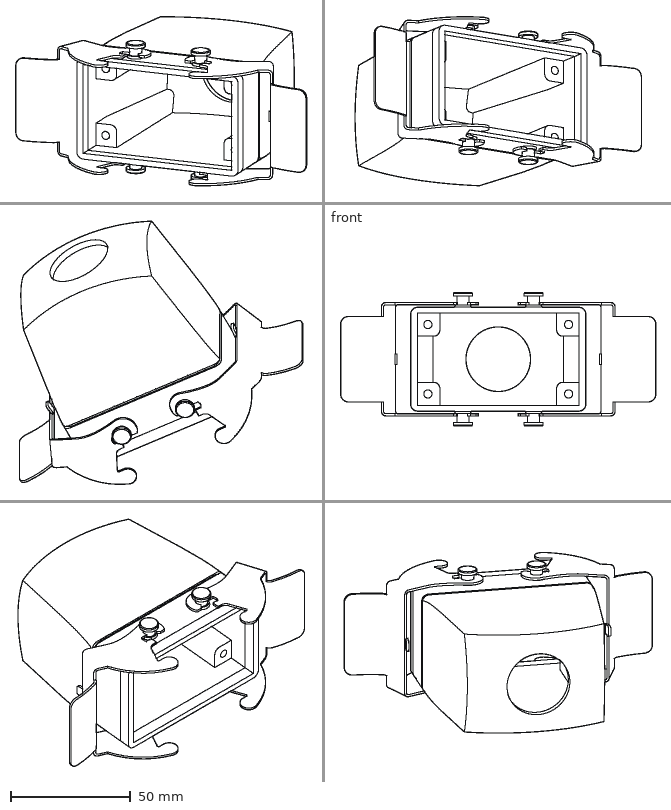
import cadquery as cq
import math


HOOD_HALF_X = 36.7
HOOD_HALF_Z = 21.8
HOOD_CORNER_RADIUS = 3.0
WALL_X = 2.9
WALL_Z = 2.5
SIDE_TAPER = 7.6
DOME_RADIUS = 77.9
DOME_THICKNESS = 2.9
ENTRY_DIAMETER = 27.0
ENTRY_RIM_Y = 81.6
GROOVE_START = 21.5
GROOVE_END = 22.7
GROOVE_DEPTH = 0.8
GROOVE_CORNER_RADIUS = 3.6
CAVITY_TAPER_START = 25.5
SEAL_DEPTH = 5.2

PILLAR_HALF_X = 24.5
PILLAR_HALF_Z = 9.6
PILLAR_FRONT_Y = 13.7
PILLAR_CORNER_RADIUS = 2.6
SCREW_X = 29.5
SCREW_Z = 14.5
SCREW_DIAMETER = 3.5
SCREW_DEPTH = 13.2

PIVOT_X = 14.8
PIVOT_Y = 11.5
PIN_DIAMETER = 5.2
PIN_HEAD_DIAMETER = 8.0
PIN_HEAD_HEIGHT = 1.6
PIN_HEAD_CHAMFER = 0.4
PIN_TOP_Z = 28.0
BOSS_BASE_DIAMETER = 7.1
BOSS_TOP_DIAMETER = 6.3

SHEET = 0.99
LEVER_HALF_Z = 23.8
BEND_RADIUS = 2.0
PANEL_LEAN = 22.0
PANEL_LENGTH = 13.6
PANEL_TOP = (-43.9, 20.9)
HOOK_RADIUS = 3.7
HOOK_CENTER = (-22.5, -9.6)
HOOK_END_ANGLE = 245.0
EYE_OPENING_ANGLE = -45.0
NOTCH_TOP_Y = 10.3
GAP_SIZE = 52.8
TAB_HALF_Z = 18.0
TAB_TIP_X = -66.0
TAB_CORNER_RADIUS = 3.5
TAB_BEND_RADIUS = 2.9
TAB_CURVE_RADIUS = 47.5
TAB_BEND_END = 288.0
TAB_CURVE_END = 265.0
NUB_TIP_Y = 24.5
NUB_INSET = 0.5
NUB_LEAN = 6.0
NUB_WIDTH = 4.5
NUB_CORNER_RADIUS = 1.0

BOSS_TOP_Z = LEVER_HALF_Z - SHEET
DOME_CENTER_Y = ENTRY_RIM_Y - math.sqrt(DOME_RADIUS**2 - (ENTRY_DIAMETER / 2)**2)
DOME_APEX_Y = DOME_CENTER_Y + DOME_RADIUS
SIDES = (-1, 1)


def polar(center, radius, degrees):
    angle = math.radians(degrees)
    return (center[0] + radius * math.cos(angle), center[1] + radius * math.sin(angle))


def along_y(half_x, half_z, start, end):
    """Rectangular block centred on the Y axis, from y = start to y = end."""
    return cq.Workplane("XY").box(2 * half_x, end - start, 2 * half_z).translate((0, (start + end) / 2, 0))


def tapered_dome(half_x, half_z, taper_start, dome_radius):
    """Block whose X sides lean inwards beyond taper_start and whose +Y end is a spherical dome."""
    top_half_x = half_x - (DOME_APEX_Y - taper_start) * math.tan(math.radians(SIDE_TAPER))
    outline = [
        (-half_x, 0), (half_x, 0), (half_x, taper_start),
        (top_half_x, DOME_APEX_Y), (-top_half_x, DOME_APEX_Y), (-half_x, taper_start),
    ]
    block = cq.Workplane("XY").polyline(outline).close().extrude(half_z, both=True)
    ball = cq.Workplane("XY").sphere(dome_radius, direct=(0, 1, 0)).translate((0, DOME_CENTER_Y, 0))
    return block.intersect(ball)


def make_shell():
    """Outer hood shape with its cavity, pillars, cable entry and groove, before the mouth is cut off."""
    prism = along_y(HOOD_HALF_X, HOOD_HALF_Z, 0, DOME_APEX_Y).edges("|Y").fillet(HOOD_CORNER_RADIUS)
    outer = tapered_dome(HOOD_HALF_X, HOOD_HALF_Z, GROOVE_END, DOME_RADIUS).intersect(prism)

    cavity_half_x = HOOD_HALF_X - WALL_X
    cavity_half_z = HOOD_HALF_Z - WALL_Z
    cavity_dome_radius = DOME_RADIUS - DOME_THICKNESS
    cavity = tapered_dome(cavity_half_x, cavity_half_z, CAVITY_TAPER_START, cavity_dome_radius)
    for side_x in SIDES:
        for side_z in SIDES:
            cavity = cavity.cut(make_pillar(side_x, side_z))
            cavity = cavity.union(make_screw_hole(side_x, side_z))

    entry = cq.Workplane("XZ").circle(ENTRY_DIAMETER / 2).extrude(-DOME_APEX_Y)
    return outer.cut(cavity).cut(entry).cut(make_groove())


def make_pillar(side_x, side_z):
    size_x = HOOD_HALF_X - PILLAR_HALF_X
    size_z = HOOD_HALF_Z - PILLAR_HALF_Z
    length = ENTRY_RIM_Y - PILLAR_FRONT_Y
    pillar = cq.Workplane("XY").box(size_x, length, size_z, centered=(False, False, False))
    pillar = pillar.edges("|Y and <X and <Z").fillet(PILLAR_CORNER_RADIUS)
    pillar = pillar.translate((PILLAR_HALF_X, PILLAR_FRONT_Y, PILLAR_HALF_Z))
    if side_x < 0:
        pillar = pillar.mirror("YZ")
    if side_z < 0:
        pillar = pillar.mirror("XY")
    return pillar


def make_screw_hole(side_x, side_z):
    hole = cq.Workplane("XZ").circle(SCREW_DIAMETER / 2).extrude(-SCREW_DEPTH)
    return hole.translate((side_x * SCREW_X, PILLAR_FRONT_Y, side_z * SCREW_Z))


def make_groove():
    """Shallow ring running round the outside of the hood."""
    core = along_y(HOOD_HALF_X - GROOVE_DEPTH, HOOD_HALF_Z - GROOVE_DEPTH, GROOVE_START, GROOVE_END)
    core = core.edges("|Y").fillet(GROOVE_CORNER_RADIUS)
    return along_y(HOOD_HALF_X, HOOD_HALF_Z, GROOVE_START, GROOVE_END).cut(core)


def make_boss(side_x, side_z):
    """Low cone on the hood wall that keeps the lever clear of it."""
    boss = (
        cq.Workplane("XY").workplane(offset=HOOD_HALF_Z).circle(BOSS_BASE_DIAMETER / 2)
        .workplane(offset=BOSS_TOP_Z - HOOD_HALF_Z).circle(BOSS_TOP_DIAMETER / 2).loft()
        .translate((side_x * PIVOT_X, PIVOT_Y, 0))
    )
    return boss if side_z > 0 else boss.mirror("XY")


def make_pin(side_x, side_z):
    head_z = PIN_TOP_Z - PIN_HEAD_HEIGHT
    stem_base = cq.Workplane("XY").workplane(offset=BOSS_TOP_Z)
    stem = stem_base.circle(PIN_DIAMETER / 2).extrude(head_z - BOSS_TOP_Z)
    head_base = cq.Workplane("XY").workplane(offset=head_z)
    head = head_base.circle(PIN_HEAD_DIAMETER / 2).extrude(PIN_HEAD_HEIGHT)
    head = head.faces(">Z").chamfer(PIN_HEAD_CHAMFER)
    pin = stem.union(head).translate((side_x * PIVOT_X, PIVOT_Y, 0))
    return pin if side_z > 0 else pin.mirror("XY")


PANEL_BOTTOM = polar(PANEL_TOP, -PANEL_LENGTH, 90 - PANEL_LEAN)
ACROSS_PANEL = -PANEL_LEAN


def plate_outline():
    """Side plate of the -X lever: open eye round the pin, stop notch, and hook at the -Y end."""
    pivot = (-PIVOT_X, PIVOT_Y)
    eye_radius = PIN_DIAMETER / 2
    eye_end = (-PIVOT_X - math.sqrt(eye_radius**2 - (PIVOT_Y - NOTCH_TOP_Y)**2), NOTCH_TOP_Y)
    return (
        cq.Workplane("XY")
        .moveTo(*PANEL_TOP)
        .lineTo(*polar(PANEL_TOP, BEND_RADIUS, ACROSS_PANEL))
        .lineTo(-34.0, 16.8)
        .spline([(-31.2, 15.9), (-26.0, 15.5), (-19.5, 16.2), (-14.5, 17.5)], includeCurrent=True)
        .threePointArc((-9.8, 15.5), (-8.3, 11.4))
        .threePointArc((-8.5, 9.8), (-9.2, 7.9))
        .lineTo(-11.6, 7.9)
        .lineTo(*polar(pivot, eye_radius, EYE_OPENING_ANGLE))
        .threePointArc(polar(pivot, eye_radius, 90), eye_end)
        .lineTo(-20.2, NOTCH_TOP_Y)
        .threePointArc((-20.6, 8.7), (-20.2, 7.1))
        .lineTo(-17.5, 7.1)
        .lineTo(-17.5, 4.0)
        .lineTo(-19.3, 4.0)
        .threePointArc((-21.1, 3.2), (-22.0, 1.6))
        .lineTo(-25.1, -5.2)
        .threePointArc((-25.1, -5.7), (-24.6, -6.0))
        .lineTo(*polar(HOOK_CENTER, HOOK_RADIUS, 90))
        .threePointArc(
            polar(HOOK_CENTER, HOOK_RADIUS, 0),
            polar(HOOK_CENTER, HOOK_RADIUS, HOOK_END_ANGLE),
        )
        .threePointArc((-35.1, -6.1), (-43.2, 6.0))
        .lineTo(*polar(PANEL_BOTTOM, BEND_RADIUS, ACROSS_PANEL))
        .lineTo(*PANEL_BOTTOM)
        .close()
    )


def make_bail():
    """Two side plates joined by the leaning panel, with rounded sheet bends."""
    lean = math.radians(PANEL_LEAN)
    along_panel = cq.selectors.ParallelDirSelector(cq.Vector(math.sin(lean), math.cos(lean), 0))
    near_panel = cq.selectors.BoxSelector(
        (PANEL_BOTTOM[0] - SHEET, PANEL_BOTTOM[1] - SHEET, -2 * LEVER_HALF_Z),
        (PANEL_TOP[0] + SHEET, PANEL_TOP[1] + SHEET, 2 * LEVER_HALF_Z),
    )
    bail = plate_outline().extrude(LEVER_HALF_Z, both=True)
    bail = bail.edges(near_panel).edges(along_panel).fillet(BEND_RADIUS)
    return bail.cut(make_bail_gap())


def make_bail_gap():
    """Space between the side plates and inside the panel."""
    gap = cq.Workplane("XY").box(GAP_SIZE, GAP_SIZE, 2 * BOSS_TOP_Z, centered=(False, True, True))
    gap = gap.edges("|Y and <X").fillet(BEND_RADIUS - SHEET)
    inner_face = polar(PANEL_TOP, SHEET, ACROSS_PANEL)
    return gap.rotate((0, 0, 0), (0, 0, 1), -PANEL_LEAN).translate((*inner_face, 0))


def band(center, radius, start, end):
    """Piece of sheet bent to an arc about a Z axis, as wide as the tab."""
    inner = radius - SHEET / 2
    outer = radius + SHEET / 2
    middle = (start + end) / 2
    return (
        cq.Workplane("XY")
        .moveTo(*polar(center, inner, start))
        .threePointArc(polar(center, inner, middle), polar(center, inner, end))
        .lineTo(*polar(center, outer, end))
        .threePointArc(polar(center, outer, middle), polar(center, outer, start))
        .close()
        .extrude(TAB_HALF_Z, both=True)
    )


def make_tab():
    """Finger tab: a tight bend off the panel's -Y edge, then a long gently curved grip."""
    panel_end = polar(PANEL_BOTTOM, SHEET / 2, ACROSS_PANEL)
    bend_start = 360 - PANEL_LEAN
    bend_center = polar(panel_end, TAB_BEND_RADIUS, bend_start - 180)
    bend_end = polar(bend_center, TAB_BEND_RADIUS, TAB_BEND_END)
    grip_center = polar(bend_end, TAB_CURVE_RADIUS, TAB_BEND_END - 180)
    bend = band(bend_center, TAB_BEND_RADIUS, bend_start, TAB_BEND_END)
    grip = band(grip_center, TAB_CURVE_RADIUS, TAB_BEND_END, TAB_CURVE_END)
    plan = (
        cq.Workplane("XZ").rect(-2 * TAB_TIP_X, 2 * TAB_HALF_Z).extrude(HOOD_HALF_X, both=True)
        .edges("|Y and <X").fillet(TAB_CORNER_RADIUS)
    )
    return bend.union(grip).intersect(plan)


def make_nub():
    """Small upright tongue at the middle of the panel's +Y edge."""
    base_y = PANEL_TOP[1] - SHEET
    nub = cq.Workplane("XY").box(SHEET, NUB_TIP_Y - base_y, NUB_WIDTH, centered=(False, False, True))
    nub = nub.edges("|X and >Y").fillet(NUB_CORNER_RADIUS).rotate((0, 0, 0), (0, 0, 1), NUB_LEAN)
    return nub.translate((PANEL_TOP[0] + NUB_INSET, base_y, 0))


def make_lever(side_x):
    lever = make_bail().union(make_tab()).union(make_nub())
    return lever if side_x < 0 else lever.mirror("YZ")


shell = make_shell()
mouth_zone = along_y(HOOD_HALF_X, HOOD_HALF_Z, 0, SEAL_DEPTH)
seal_ring = shell.intersect(mouth_zone)
hood = shell.cut(mouth_zone)
pins = []
for side_x in SIDES:
    for side_z in SIDES:
        hood = hood.union(make_boss(side_x, side_z))
        pins.append(make_pin(side_x, side_z).val())
levers = [make_lever(side_x).val() for side_x in SIDES]

result = cq.Compound.makeCompound([hood.val(), seal_ring.val(), *levers, *pins])